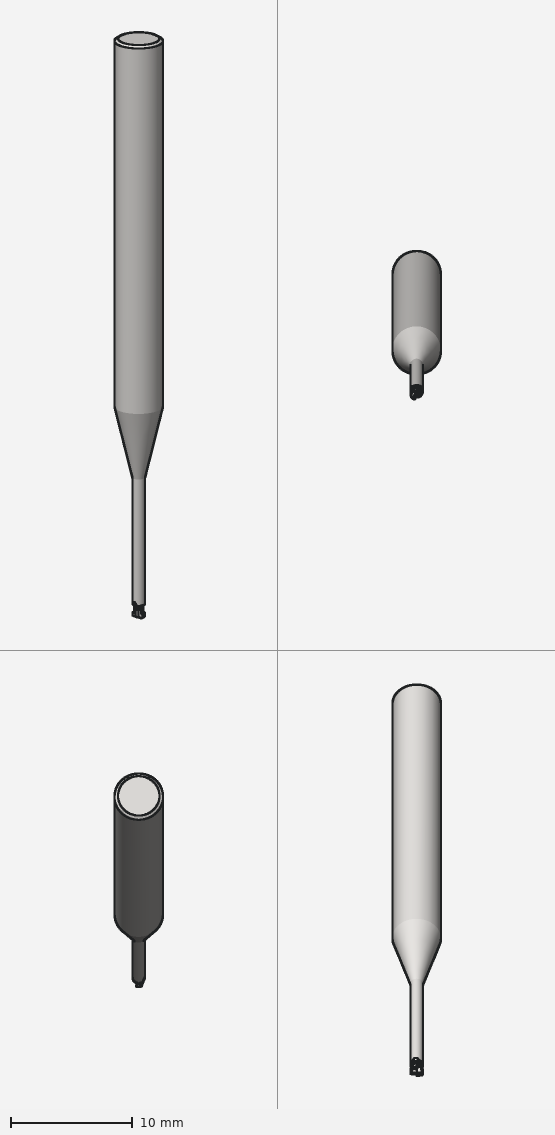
import cadquery as cq

TOOL_LENGTH = 50.0
SHANK_RADIUS = 2.0
SHANK_BOTTOM = 18.2
TOP_CHAMFER_WIDTH = 0.3
TOP_CHAMFER_HEIGHT = 0.2

NECK_RADIUS = 0.525
NECK_TOP = 12.05
NECK_BOTTOM = 1.15
NECK_CONE_HEIGHT = 0.05

RUNOUT_TOP = 1.45

HEAD_TOP = 0.9
CORE_RADIUS = 0.375
FLARE_START = 0.45
FLARE_END = 0.35
CORNER_CHAMFER = 0.15
TIP_HALF_WIDTH = 0.125

FLUTE_OFFSET = 0.05
FLUTE_TOP = 0.75

CLEARANCE = 0.5


def revolve_profile(points):
    """Revolve a closed (radius, height) outline about the Z axis."""
    return cq.Workplane("XZ").polyline(points).close().revolve(360, (0, 0, 0), (0, 1, 0))


def add_half_turn_copy(shape):
    """Pair a shape with its copy turned half a revolution about Z."""
    return shape.union(shape.rotate((0, 0, 0), (0, 0, 1), 180))


def make_runouts():
    """Two wedges sloping from the neck surface down to the core radius."""
    wedge = (
        cq.Workplane("YZ")
        .polyline([
            (-NECK_RADIUS, RUNOUT_TOP),
            (-CORE_RADIUS, HEAD_TOP),
            (-NECK_RADIUS, HEAD_TOP),
        ])
        .close()
        .extrude(NECK_RADIUS, both=True)
    )
    return add_half_turn_copy(wedge)


def make_shank():
    """Shank, taper, neck and the short stub that carries the cutting head."""
    blank = revolve_profile([
        (0, HEAD_TOP),
        (CORE_RADIUS, HEAD_TOP),
        (CORE_RADIUS, NECK_BOTTOM - NECK_CONE_HEIGHT),
        (NECK_RADIUS, NECK_BOTTOM),
        (NECK_RADIUS, NECK_TOP),
        (SHANK_RADIUS, SHANK_BOTTOM),
        (SHANK_RADIUS, TOOL_LENGTH - TOP_CHAMFER_HEIGHT),
        (SHANK_RADIUS - TOP_CHAMFER_WIDTH, TOOL_LENGTH),
        (0, TOOL_LENGTH),
    ])
    return blank.cut(make_runouts())


def make_blade_envelope():
    """Slab along X that narrows to the cutting edge at its lower end."""
    return (
        cq.Workplane("YZ")
        .polyline([
            (-TIP_HALF_WIDTH, 0),
            (TIP_HALF_WIDTH, 0),
            (CORE_RADIUS, CORNER_CHAMFER),
            (CORE_RADIUS, HEAD_TOP),
            (-CORE_RADIUS, HEAD_TOP),
            (-CORE_RADIUS, CORNER_CHAMFER),
        ])
        .close()
        .extrude(NECK_RADIUS, both=True)
    )


def make_flutes():
    """Two opposite notches, in the (+X, -Y) and (-X, +Y) quarters."""
    notch = (
        cq.Workplane("XY")
        .moveTo(FLUTE_OFFSET, -FLUTE_OFFSET)
        .lineTo(NECK_RADIUS + CLEARANCE, -FLUTE_OFFSET)
        .lineTo(NECK_RADIUS + CLEARANCE, -NECK_RADIUS - CLEARANCE)
        .lineTo(FLUTE_OFFSET, -NECK_RADIUS - CLEARANCE)
        .close()
        .extrude(FLUTE_TOP)
    )
    return add_half_turn_copy(notch)


def make_cutting_head():
    """Flared two-flute cutting end."""
    blank = revolve_profile([
        (0, 0),
        (NECK_RADIUS - CORNER_CHAMFER, 0),
        (NECK_RADIUS, CORNER_CHAMFER),
        (NECK_RADIUS, FLARE_END),
        (CORE_RADIUS, FLARE_START),
        (CORE_RADIUS, HEAD_TOP),
        (0, HEAD_TOP),
    ])
    return blank.intersect(make_blade_envelope()).cut(make_flutes())


shank = make_shank()
cutting_head = make_cutting_head()
result = cq.Compound.makeCompound([shank.val(), cutting_head.val()])